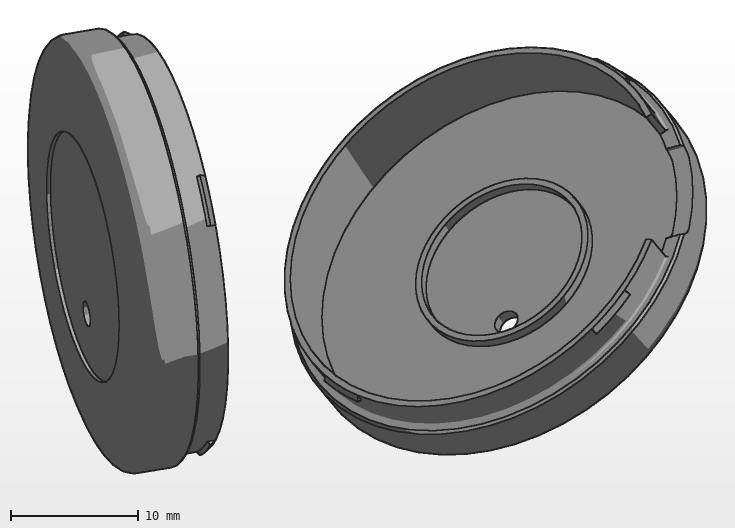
import cadquery as cq
import math

rim_radius = 17.5
depth = 7.0

face_radius = 14.5
edge_depth = 1.55

rim_rear = 4.48
rim_chamfer = 0.2
spigot_radius = 16.62
spigot_root_fillet = 0.2
wall_thickness = 0.52
bore_radius = spigot_radius - wall_thickness

recess_radius = 10.0
recess_depth = 0.3
web_thickness = 0.98
floor_thickness = recess_depth + web_thickness
hole_diameter = 2.0
hole_drop = 5.5

ring_inner_radius = 7.0
ring_thickness = 0.52
ring_rear = 2.1

gap_span = 43.0
notch_depth = 0.7
notch_half_width = 4.38
notch_fillet = 1.0

lug_count = 4
lug_first_angle = 45.0
lug_span = 14.0
lug_height = 0.3
lug_ridge_setback = 0.5
lug_length = 0.7
lug_root = 0.18


def cylinder(radius, start, end):
    """Solid cylinder on the Y axis between two Y positions."""
    return cq.Workplane("XZ", origin=(0, start, 0)).circle(radius).extrude(start - end)


def revolve_body():
    """Cover body: rounded front, chamfered rim, spigot with a filleted root, rear bore."""
    corner = math.sqrt(0.5)
    edge_middle = (
        face_radius + (rim_radius - face_radius) * corner,
        edge_depth * (1 - corner),
    )
    fillet_middle = (
        spigot_radius + spigot_root_fillet * (1 - corner),
        rim_rear + spigot_root_fillet * (1 - corner),
    )
    profile = (
        cq.Workplane("XY")
        .lineTo(face_radius, 0)
        .spline(
            [edge_middle, (rim_radius, edge_depth)],
            tangents=[(1, 0), (0, 1)],
            includeCurrent=True,
        )
        .lineTo(rim_radius, rim_rear - rim_chamfer)
        .lineTo(rim_radius - rim_chamfer, rim_rear)
        .lineTo(spigot_radius + spigot_root_fillet, rim_rear)
        .threePointArc(fillet_middle, (spigot_radius, rim_rear + spigot_root_fillet))
        .lineTo(spigot_radius, depth)
        .lineTo(bore_radius, depth)
        .lineTo(bore_radius, floor_thickness)
        .lineTo(0, floor_thickness)
        .close()
    )
    return profile.revolve(360, (0, 0, 0), (0, 1, 0))


def side_opening():
    """Cutter for the -X side: a radial spigot gap with a shallower filleted notch in the rim."""
    cut_depth = depth - rim_rear
    gap = (
        cq.Workplane("XY", origin=(0, rim_rear, 0))
        .rect(-rim_radius, cut_depth, centered=False)
        .revolve(gap_span, (0, 0, 0), (0, 1, 0))
        .rotate((0, 0, 0), (0, 1, 0), -gap_span / 2)
    )
    notch = (
        cq.Workplane("XY")
        .box(rim_radius, cut_depth + notch_depth, 2 * notch_half_width, centered=(False, False, True))
        .translate((-rim_radius, rim_rear - notch_depth, 0))
        .edges("|X and <Y")
        .fillet(notch_fillet)
    )
    return gap.union(notch)


def snap_lug(angle):
    """Wedge-shaped lug on the spigot, centred on the given angle about the Y axis."""
    return (
        cq.Workplane("XY")
        .moveTo(spigot_radius - lug_root, depth)
        .lineTo(spigot_radius, depth)
        .lineTo(spigot_radius + lug_height, depth - lug_ridge_setback)
        .lineTo(spigot_radius, depth - lug_length)
        .lineTo(spigot_radius - lug_root, depth - lug_length)
        .close()
        .revolve(lug_span, (0, 0, 0), (0, 1, 0))
        .rotate((0, 0, 0), (0, 1, 0), angle - lug_span / 2)
    )


def inner_ring():
    """Low ring wall standing on the inside of the floor."""
    outside = cylinder(ring_inner_radius + ring_thickness, recess_depth, ring_rear)
    return outside.cut(cylinder(ring_inner_radius, recess_depth, ring_rear))


def floor_hole():
    """Cutter for the small through hole below the centre of the floor."""
    return cylinder(hole_diameter / 2, 0, depth).translate((0, 0, -hole_drop))


result = revolve_body().union(inner_ring())
result = result.cut(side_opening())
result = result.cut(cylinder(recess_radius, 0, recess_depth))
result = result.cut(floor_hole())
for index in range(lug_count):
    result = result.union(snap_lug(lug_first_angle + index * 360 / lug_count))